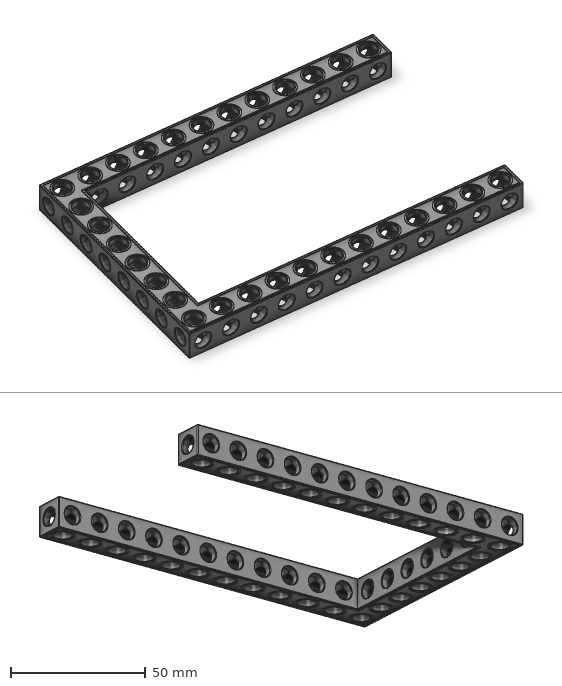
import cadquery as cq

length = 150.0
arm_cells = 12
base_cells = 8
pitch = length / arm_cells
width = base_cells * pitch
thickness = pitch
opening_width = width - 2 * pitch

hole_diameter = 7.0
edge_chamfer = 0.3

ring_diameter = 9.2
rim_width = 1.1
recess_depth = 0.25


def cell_center(index):
    return (index + 0.5) * pitch


def frame_slab(inset, bottom, top):
    """U-shaped plate with its whole outline moved inward by inset."""
    slab = (
        cq.Workplane("XY", origin=(width / 2, inset, bottom))
        .rect(width - 2 * inset, length - 2 * inset, centered=(True, False))
        .extrude(top - bottom)
    )
    opening = (
        cq.Workplane("XY", origin=(width / 2, pitch - inset, bottom))
        .rect(opening_width + 2 * inset, length, centered=(True, False))
        .extrude(top - bottom)
    )
    return slab.cut(opening)


def make_frame():
    """Full-thickness frame with chamfered edges."""
    frame = frame_slab(0, 0, thickness)
    frame = frame.edges("|Z").edges("<Y or >Y").chamfer(edge_chamfer)
    return frame.faces("<Z or >Z").edges().chamfer(edge_chamfer)


def face_recess(bottom):
    """Shallow recess inside the rim of a flat face, leaving a ring around every bore."""
    rings = (
        cq.Workplane("XY", origin=(0, 0, bottom))
        .pushPoints(vertical_bore_centers())
        .circle(ring_diameter / 2)
        .extrude(recess_depth)
    )
    return frame_slab(rim_width, bottom, bottom + recess_depth).cut(rings)


def chamfered_bore(start, direction, depth):
    """Through bore with a chamfer at each mouth."""
    axis = cq.Vector(*direction)
    entry = cq.Vector(*start)
    exit_point = entry + axis * depth
    radius = hole_diameter / 2
    bore = cq.Solid.makeCylinder(radius, depth, entry, axis)
    for mouth, inward in ((entry, axis), (exit_point, axis * -1)):
        bore = bore.fuse(cq.Solid.makeCone(radius + edge_chamfer, radius, edge_chamfer, mouth, inward))
    return bore


def vertical_bore_centers():
    left, right = cell_center(0), cell_center(base_cells - 1)
    base_row = [(cell_center(i), cell_center(0)) for i in range(base_cells)]
    arm_rows = [(x, cell_center(j)) for j in range(1, arm_cells) for x in (left, right)]
    return base_row + arm_rows


def vertical_bores():
    return [chamfered_bore((x, y, 0), (0, 0, 1), thickness) for x, y in vertical_bore_centers()]


def crosswise_bores():
    """Bores along X: one runs the full base bar, the others cross each arm."""
    middle = thickness / 2
    along_x = (1, 0, 0)
    bores = [chamfered_bore((0, cell_center(0), middle), along_x, width)]
    for j in range(1, arm_cells):
        for arm_side in (0, width - pitch):
            start = (arm_side, cell_center(j), middle)
            bores.append(chamfered_bore(start, along_x, pitch))
    return bores


def lengthwise_bores():
    """Bores along Y: the outer two run the full arms, the others cross the base bar."""
    bores = []
    for i in range(base_cells):
        depth = length if i in (0, base_cells - 1) else pitch
        start = (cell_center(i), 0, thickness / 2)
        bores.append(chamfered_bore(start, (0, 1, 0), depth))
    return bores


result = make_frame()
for recess_bottom in (0, thickness - recess_depth):
    result = result.cut(face_recess(recess_bottom))
for bores in (vertical_bores(), crosswise_bores(), lengthwise_bores()):
    result = result.cut(cq.Workplane(cq.Compound.makeCompound(bores)))